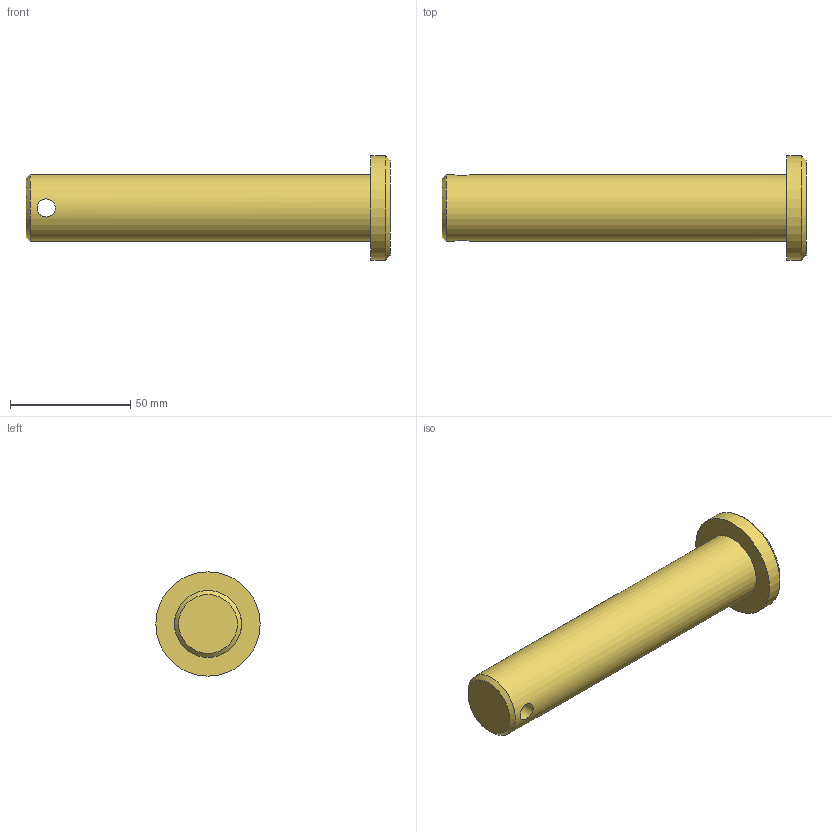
import cadquery as cq

overall_length = 151.23
head_diameter = 43.3
head_thickness = 8.0
head_chamfer = 1.8
shank_diameter = 27.8
tip_chamfer = 1.7

hole_diameter = 7.5
hole_from_tip = 8.4

shank_length = overall_length - head_thickness


def make_shank():
    """Round shank along X with its free end at X = 0, chamfered there."""
    shank = cq.Workplane("YZ").circle(shank_diameter / 2).extrude(shank_length)
    return shank.faces("<X").chamfer(tip_chamfer)


def make_head():
    """Disc head on the far end of the shank, chamfered on its outer face."""
    head = (
        cq.Workplane("YZ", origin=(shank_length, 0, 0))
        .circle(head_diameter / 2)
        .extrude(head_thickness)
    )
    return head.faces(">X").chamfer(head_chamfer)


def make_cross_hole():
    """Cutter for the retaining-pin hole that crosses the shank along Y."""
    return (
        cq.Workplane("XZ", origin=(hole_from_tip, 0, 0))
        .circle(hole_diameter / 2)
        .extrude(shank_diameter, both=True)
    )


result = make_shank().union(make_head()).cut(make_cross_hole())